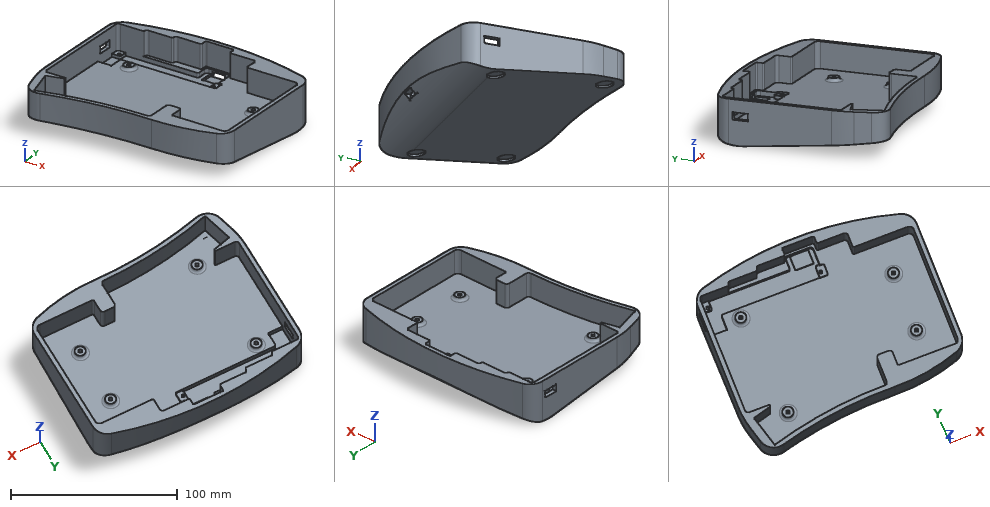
import cadquery as cq
import math

length = 141.0
height = 28.9
wall = 3.0

corner_radius = 10.0
back_corner_y = 98.5
back_edge_y = 117.1
palm_angle = 15.0
palm_bend_top = 31.7
palm_bend_radius = 54.4
palm_lean_length = 10.5
front_bow_inflection_x = 91.9
inflection_angle = -1.2
front_outer_bow_radius = 121.2

slope_angle = 6.7
lowest_y = 92.3
back_roll_radius = 32.7

floor_z = 12.0
web_left = 88.7
web_right = 98.5
web_back_y = 31.6
right_front_y = 21.1
right_back_y = 99.0
right_step_x = 100.0
rib_back_y = 26.4
rib_tip_x = 18.0
rib_tip_y = 25.1
palm_side_back = (6.3, 22.0)
palm_side_front_x = 12.4
first_step_x = 22.0
first_step_y = 106.3
second_step_x = 41.3
second_step_y = 109.1
niche_left = 60.2
niche_right = 80.6
niche_y = 114.0
round_large = 2.0
round_small = 1.0
round_tiny = 0.4
step_round = 1.8
step_inner_round = 0.8

pocket_floor_z = floor_z - 3.2
pad_z = floor_z - 1.1
pocket_back_y = 103.9
pocket_front_y = 92.8
pocket_ell_front_y = 82.9
pocket_ell_right = 12.8
corner_pad_right = 9.0
corner_pad_front_y = 98.0
end_pad_left = 76.4
end_pad_right = 81.6
end_pad_back_y = 100.8
notch_back_y = 100.1
pad_hole_diameter = 1.8
pad_hole_depth = 2.1
pad_hole_places = [(6.9, 100.1), (78.1, 96.3)]

bay_left = 61.5
bay_right = 79.1
bay_back_y = 112.5
recess_left = 64.5
recess_width = 11.8
recess_depth_y = 9.3
recess_floor_z = pocket_floor_z - 1.5
port_width = 9.0
port_height = 3.4

side_slot_y = (85.7, 95.9)
side_slot_z = (16.1, 20.9)

boss_places = [(23.0, 86.5), (28.0, 21.7), (118.3, 79.1), (118.3, 41.0)]
boss_base_diameter = 10.7
boss_height = 2.0
boss_hole_diameter = 2.3
boss_hole_depth = 4.2
drill_point_angle = 118.0
foot_diameter = 11.0
foot_depth = 1.4
foot_places = [(14.0, 11.7), (8.9, 84.6), (132.2, 26.2), (132.2, 84.6)]


def polar(center, radius, degrees):
    """Point on a circle, angle measured from +X."""
    angle = math.radians(degrees)
    return (center[0] + radius * math.cos(angle), center[1] + radius * math.sin(angle))


def add_arc(sketch, center, radius, start, end):
    """Continue a wire along a circle from the start angle to the end angle."""
    middle = polar(center, radius, (start + end) / 2)
    return sketch.threePointArc(middle, polar(center, radius, end))


def rounded_prism(corners, bottom, top):
    """Prism over a polygon whose corners are (x, y, rounding radius)."""
    wire = None
    count = len(corners)
    for i, (x, y, radius) in enumerate(corners):
        here = cq.Vector(x, y)
        before = (cq.Vector(*corners[i - 1][:2]) - here).normalized()
        after = (cq.Vector(*corners[(i + 1) % count][:2]) - here).normalized()
        half = before.getAngle(after) / 2
        setback = radius / math.tan(half)
        entry = here + before * setback
        leave = here + after * setback
        bisector = (before + after).normalized()
        middle = here + bisector * (radius / math.sin(half) - radius)
        if wire is None:
            wire = cq.Workplane("XY", origin=(0, 0, bottom)).moveTo(entry.x, entry.y)
        else:
            wire = wire.lineTo(entry.x, entry.y)
        if radius > 0:
            wire = wire.threePointArc((middle.x, middle.y), (leave.x, leave.y))
    return wire.close().extrude(top - bottom)


def box(x_range, y_range, z_range):
    """Box between pairs of limits."""
    size = [limits[1] - limits[0] for limits in (x_range, y_range, z_range)]
    return cq.Workplane("XY", origin=(x_range[0], y_range[0], z_range[0])).box(*size, centered=False)


lean = math.radians(palm_angle)
palm_bend_center = (palm_bend_radius, palm_bend_top)
palm_bend_end = polar(palm_bend_center, palm_bend_radius, 180 + palm_angle)
palm_corner = (
    palm_bend_end[0] + palm_lean_length * math.tan(lean) + corner_radius * math.cos(lean),
    corner_radius,
)

inflection_tilt = math.radians(inflection_angle)
front_inner_bow_radius = (
    front_bow_inflection_x - palm_corner[0] - corner_radius * math.sin(lean)
) / (math.sin(lean) - math.sin(inflection_tilt))
inner_bow_center = polar(palm_corner, corner_radius + front_inner_bow_radius, palm_angle - 90)
inflection = polar(inner_bow_center, front_inner_bow_radius, 90 + inflection_angle)

outer_bow_center = polar(inflection, front_outer_bow_radius, 90 + inflection_angle)
right_corner_x = length - corner_radius
outer_bow_angle = math.degrees(
    math.asin((right_corner_x - outer_bow_center[0]) / (front_outer_bow_radius - corner_radius))
)
right_corner = polar(outer_bow_center, front_outer_bow_radius - corner_radius, outer_bow_angle - 90)

back_half_span = length / 2 - corner_radius
back_rise = back_edge_y - back_corner_y - corner_radius
back_bow_radius = (back_half_span**2 + back_rise**2) / (2 * back_rise) + corner_radius
back_bow_center = (length / 2, back_edge_y - back_bow_radius)
back_bow_angle = math.degrees(math.asin(back_half_span / (back_bow_radius - corner_radius)))


def make_body():
    """Solid outline, cut below by the sloped and rolled underside."""
    outline = cq.Workplane("XY").moveTo(0, palm_bend_top).lineTo(0, back_corner_y)
    outline = add_arc(outline, (corner_radius, back_corner_y), corner_radius, 180, 90 + back_bow_angle)
    outline = add_arc(outline, back_bow_center, back_bow_radius, 90 + back_bow_angle, 90 - back_bow_angle)
    outline = add_arc(outline, (right_corner_x, back_corner_y), corner_radius, 90 - back_bow_angle, 0)
    outline = outline.lineTo(length, right_corner[1])
    outline = add_arc(outline, right_corner, corner_radius, 0, outer_bow_angle - 90)
    outline = add_arc(
        outline, outer_bow_center, front_outer_bow_radius, outer_bow_angle - 90, inflection_angle - 90
    )
    outline = add_arc(outline, inner_bow_center, front_inner_bow_radius, 90 + inflection_angle, 90 + palm_angle)
    outline = add_arc(outline, palm_corner, corner_radius, palm_angle - 90, palm_angle - 180)
    outline = outline.lineTo(*palm_bend_end)
    outline = add_arc(outline, palm_bend_center, palm_bend_radius, 180 + palm_angle, 180)
    prism = outline.close().extrude(height)

    roll_center = (lowest_y, back_roll_radius)
    slope_end = polar(roll_center, back_roll_radius, -90 - slope_angle)
    roll_end_angle = -math.degrees(math.acos((back_edge_y - lowest_y) / back_roll_radius))
    profile = cq.Workplane("YZ").moveTo(0, underside_z(0)).lineTo(*slope_end)
    profile = add_arc(profile, roll_center, back_roll_radius, -90 - slope_angle, roll_end_angle)
    profile = profile.lineTo(back_edge_y, height).lineTo(0, height).close()
    return prism.intersect(profile.extrude(length))


def underside_z(y):
    """Height of the flat sloped underside at a given y."""
    slope = math.radians(slope_angle)
    return back_roll_radius * (1 - 1 / math.cos(slope)) + (lowest_y - y) * math.tan(slope)


def make_cavity():
    """Open-topped cavity down to the level floor."""
    right = length - wall
    corners = [
        (wall, rib_back_y, round_large),
        (wall, pocket_back_y, round_large),
        (first_step_x, pocket_back_y, round_tiny),
        (first_step_x, first_step_y, step_round),
        (second_step_x, first_step_y, step_inner_round),
        (second_step_x, second_step_y, step_round),
        (niche_left, second_step_y, round_small),
        (niche_left, niche_y, round_tiny),
        (niche_right, niche_y, round_small),
        (niche_right, second_step_y, round_small),
        (right_step_x, second_step_y, round_large),
        (right_step_x, right_back_y, round_small),
        (right, right_back_y, wall),
        (right, right_front_y, wall),
        (web_right, right_front_y, round_small),
        (web_right, web_back_y, round_large),
        (web_left, web_back_y, round_large),
        (web_left, 0, 0),
        (palm_side_front_x, 0, 0),
        palm_side_back + (0,),
        (rib_tip_x, rib_tip_y, 0),
        (rib_tip_x, rib_back_y, 0),
    ]
    cavity = rounded_prism(corners, floor_z, height)
    front_wall = (
        cq.Workplane("XY", origin=(*inner_bow_center, floor_z))
        .circle(front_inner_bow_radius + wall)
        .extrude(height - floor_z)
    )
    cavity = cavity.cut(front_wall)
    web_foot = cq.selectors.NearestToPointSelector((web_left, inflection[1] + wall, (floor_z + height) / 2))
    return cavity.edges("|Z").edges(web_foot).fillet(round_large)


def make_pocket():
    """Board pocket with two screw pads, and the connector recess with its port."""
    pocket = rounded_prism(
        [
            (wall, pocket_ell_front_y, 0),
            (wall, pocket_back_y, round_large),
            (bay_left, pocket_back_y, round_small),
            (bay_left, bay_back_y, round_large),
            (bay_right, bay_back_y, round_large),
            (bay_right, pocket_front_y, 0),
            (pocket_ell_right, pocket_front_y, round_small),
            (pocket_ell_right, pocket_ell_front_y, 0),
        ],
        pocket_floor_z,
        floor_z,
    )
    corner_pad = rounded_prism(
        [
            (wall, corner_pad_front_y, 0),
            (corner_pad_right, corner_pad_front_y, round_small),
            (corner_pad_right, pocket_back_y, 0),
            (wall, pocket_back_y, 0),
        ],
        pocket_floor_z,
        pad_z,
    )
    end_pad = rounded_prism(
        [
            (end_pad_left, pocket_front_y, 0),
            (bay_right, pocket_front_y, 0),
            (bay_right, end_pad_back_y, 0),
            (end_pad_left, end_pad_back_y, round_small),
        ],
        pocket_floor_z,
        pad_z,
    )
    end_pad_notch = rounded_prism(
        [
            (end_pad_left, pocket_front_y, 0),
            (end_pad_right, pocket_front_y, round_small),
            (end_pad_right, notch_back_y, round_small),
            (end_pad_left, notch_back_y, 0),
        ],
        pad_z,
        floor_z,
    )
    recess_right = recess_left + recess_width
    recess = box(
        (recess_left, recess_right), (bay_back_y - recess_depth_y, bay_back_y), (recess_floor_z, floor_z)
    )
    port_x = (length - port_width) / 2
    port = box(
        (port_x, port_x + port_width),
        (bay_back_y - wall, back_edge_y),
        (recess_floor_z, recess_floor_z + port_height),
    )
    pocket = pocket.cut(corner_pad).cut(end_pad).union(end_pad_notch).union(recess).union(port)
    holes = (
        cq.Workplane("XY", origin=(0, 0, pad_z))
        .pushPoints(pad_hole_places)
        .circle(pad_hole_diameter / 2)
        .extrude(-pad_hole_depth)
    )
    return pocket.union(holes)


def make_side_slot():
    """Slot through the left wall with its lower back corner rounded."""
    slot = box((0, wall), side_slot_y, side_slot_z)
    return slot.edges("|X and >Y and <Z").fillet(round_small)


def make_boss(x, y):
    """Boss flared into the floor by a full-height fillet."""
    base_radius = boss_base_diameter / 2
    flare_center = (base_radius, boss_height)
    profile = cq.Workplane("XZ").moveTo(0, 0).lineTo(base_radius, 0)
    profile = add_arc(profile, flare_center, boss_height, 270, 180)
    boss = profile.lineTo(0, boss_height).close().revolve(360, (0, 0), (0, 1))
    return boss.translate((x, y, floor_z))


def make_boss_hole(x, y):
    """Blind screw hole down from the top of a boss, ending in a drill point."""
    radius = boss_hole_diameter / 2
    point_depth = radius / math.tan(math.radians(drill_point_angle / 2))
    profile = (
        cq.Workplane("XZ")
        .lineTo(radius, 0)
        .lineTo(radius, -boss_hole_depth)
        .lineTo(0, -boss_hole_depth - point_depth)
        .close()
    )
    hole = profile.revolve(360, (0, 0), (0, 1))
    return hole.translate((x, y, floor_z + boss_height))


def make_foot_recess(x, y):
    """Shallow round recess square to the sloped underside."""
    slope = math.radians(slope_angle)
    inward = (0, math.sin(slope), math.cos(slope))
    plane = cq.Plane(origin=(x, y, underside_z(y)), xDir=(1, 0, 0), normal=inward)
    return cq.Workplane(plane).circle(foot_diameter / 2).extrude(foot_depth)


result = make_body().cut(make_cavity()).cut(make_pocket()).cut(make_side_slot())
for place in boss_places:
    result = result.union(make_boss(*place)).cut(make_boss_hole(*place))
for place in foot_places:
    result = result.cut(make_foot_recess(*place))